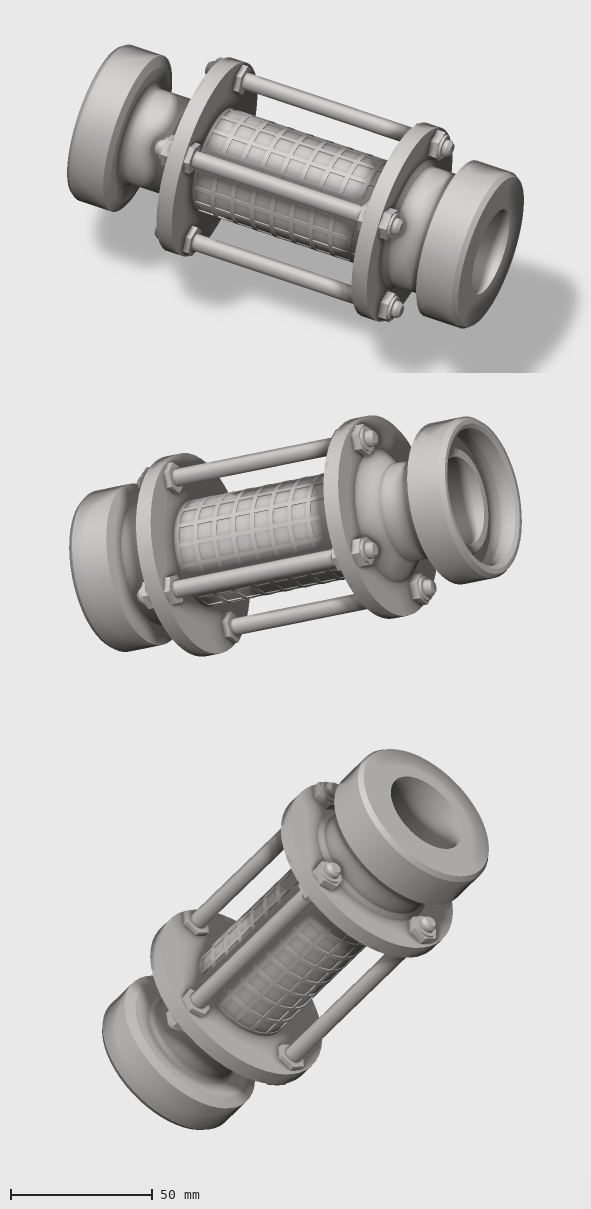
import cadquery as cq

total_length = 152.0
bore_radius = 15.8
end_radius = 29.0
end_face_radius = 27.8
end_chamfer_length = 1.8

flange_radius = 36.0
flange_thickness = 6.0
glass_center = 79.5
flange_gap = 69.9
left_flange_inner = glass_center - flange_gap / 2
left_flange_outer = left_flange_inner - flange_thickness
right_flange_inner = glass_center + flange_gap / 2
right_flange_outer = right_flange_inner + flange_thickness

nut_length = 15.8
nut_back_chamfer_length = 1.2
nut_back_radius = 25.1
nut_bore_radius = 24.8
nut_mouth_radius = 26.1
nut_mouth_depth = 0.9
nut_thread_end = 6.8
nut_seat_radius = 25.1
nut_seat_depth = 11.1
nut_collar_radius = 19.3
nut_collar_length = 2.1
nut_collar_curve_radius = 2.3

lip_depth = 8.5
lip_front_radius = 18.8
lip_base_radius = 19.9
left_pipe_radius = 17.6
left_flare_length = 6.7

right_pipe_radius = 22.2
right_flare_length = 1.7
male_end_length = 15.7
male_back_cone_length = 2.1

flare_radius = 24.0
flare_curve_radius = 45.6

sleeve_radius = 19.2
sleeve_thickness = 0.5
glass_radius = sleeve_radius - sleeve_thickness
window_size = 6.0
window_pitch = 7.6
window_columns = 9
window_center = 79.2
window_rows = 16

bolt_count = 4
bolt_offset = 21.1
bolt_radius = 3.0
bolt_tip_radius = 2.1
bolt_tip_length = 1.2
bolt_overhang = 6.7
hex_corner_radius = 5.6
hex_twist = 5.0
outer_hex_thickness = 3.0
inner_hex_thickness = 2.1
hex_collar_radius = 4.4
hex_collar_thickness = 0.9


def revolve_about_flow_axis(profile):
    """Revolve a closed profile, drawn with X along the flow axis and Z as the radius."""
    return profile.close().revolve(360, (0, 0, 0), (1, 0, 0))


def cylinder(radius, start, length):
    """A cylinder on the flow axis."""
    return cq.Workplane("YZ", origin=(start, 0, 0)).circle(radius).extrude(length)


def tube(outer_radius, inner_radius, start, length):
    """A plain tube on the flow axis."""
    return cq.Workplane("YZ", origin=(start, 0, 0)).circle(outer_radius).circle(inner_radius).extrude(length)


def around_bolt_circle(bolt_shape, index):
    """Turn a shape about the flow axis to one of the bolt places."""
    return bolt_shape.rotate((0, 0, 0), (1, 0, 0), index * 360 / bolt_count)


def cut_bolt_holes(fitting, flange_start):
    """Drill the close-fitting holes for the tie bolts through one flange."""
    hole = (
        cq.Workplane("YZ", origin=(flange_start, bolt_offset, bolt_offset))
        .circle(bolt_radius)
        .extrude(flange_thickness)
    )
    for index in range(bolt_count):
        fitting = fitting.cut(around_bolt_circle(hole, index))
    return fitting


def make_union_nut():
    """Ring nut whose back wall rests behind the lip of the left fitting."""
    profile = (
        cq.Workplane("XZ")
        .moveTo(0, nut_mouth_radius)
        .lineTo(0, end_face_radius)
        .lineTo(end_chamfer_length, end_radius)
        .lineTo(nut_length - nut_back_chamfer_length, end_radius)
        .lineTo(nut_length, nut_back_radius)
        .lineTo(nut_length, nut_collar_radius)
        .radiusArc((nut_length + nut_collar_length, left_pipe_radius), -nut_collar_curve_radius)
        .lineTo(nut_seat_depth, left_pipe_radius)
        .lineTo(nut_seat_depth, nut_seat_radius)
        .lineTo(nut_thread_end, nut_seat_radius)
        .lineTo(nut_thread_end, nut_bore_radius)
        .lineTo(nut_mouth_depth, nut_bore_radius)
    )
    return revolve_about_flow_axis(profile)


def make_left_fitting():
    """Tapered lip, pipe, flare and flange in one piece."""
    profile = (
        cq.Workplane("XZ")
        .moveTo(lip_depth, bore_radius)
        .lineTo(lip_depth, lip_front_radius)
        .lineTo(nut_seat_depth, lip_base_radius)
        .lineTo(nut_seat_depth, left_pipe_radius)
        .lineTo(left_flange_outer - left_flare_length, left_pipe_radius)
        .radiusArc((left_flange_outer, flare_radius), -flare_curve_radius)
        .lineTo(left_flange_outer, flange_radius)
        .lineTo(left_flange_inner, flange_radius)
        .lineTo(left_flange_inner, bore_radius)
    )
    return cut_bolt_holes(revolve_about_flow_axis(profile), left_flange_outer)


def make_right_fitting():
    """Flange, flare, pipe and male end in one piece."""
    male_end_start = total_length - male_end_length
    profile = (
        cq.Workplane("XZ")
        .moveTo(right_flange_inner, bore_radius)
        .lineTo(right_flange_inner, flange_radius)
        .lineTo(right_flange_outer, flange_radius)
        .lineTo(right_flange_outer, flare_radius)
        .radiusArc((right_flange_outer + right_flare_length, right_pipe_radius), -flare_curve_radius)
        .lineTo(male_end_start - male_back_cone_length, right_pipe_radius)
        .lineTo(male_end_start, end_radius)
        .lineTo(total_length - end_chamfer_length, end_radius)
        .lineTo(total_length, end_face_radius)
        .lineTo(total_length, bore_radius)
    )
    return cut_bolt_holes(revolve_about_flow_axis(profile), right_flange_inner)


def make_sleeve():
    """Sleeve around the glass, perforated by rings of square windows."""
    sleeve = tube(sleeve_radius, glass_radius, left_flange_inner, flange_gap)
    window_row = (
        cq.Workplane("XY", origin=(window_center, 0, 0))
        .rarray(window_pitch, 1.5, window_columns, 1)
        .rect(window_size, window_size)
        .extrude(sleeve_radius, both=True)
    )
    for row in range(window_rows // 2):
        sleeve = sleeve.cut(window_row.rotate((0, 0, 0), (1, 0, 0), row * 360 / window_rows))
    return sleeve


def hex_nut(start, thickness):
    """Hexagon on the flow axis, one corner close to the Z direction."""
    return (
        cq.Workplane("YZ", origin=(start, 0, 0))
        .polygon(6, 2 * hex_corner_radius)
        .extrude(thickness)
        .rotate((0, 0, 0), (1, 0, 0), 90 + hex_twist)
    )


def make_bolt():
    """Tie bolt with its hexagons inside and outside both flanges, centred on the flow axis."""
    bolt_start = left_flange_outer - bolt_overhang
    bolt_end = right_flange_outer + bolt_overhang
    shank_profile = (
        cq.Workplane("XZ")
        .moveTo(bolt_start, 0)
        .lineTo(bolt_start, bolt_tip_radius)
        .lineTo(bolt_start + bolt_tip_length, bolt_radius)
        .lineTo(bolt_end - bolt_tip_length, bolt_radius)
        .lineTo(bolt_end, bolt_tip_radius)
        .lineTo(bolt_end, 0)
    )
    bolt = revolve_about_flow_axis(shank_profile)
    bolt = bolt.union(hex_nut(left_flange_outer - outer_hex_thickness, outer_hex_thickness))
    bolt = bolt.union(hex_nut(left_flange_inner, inner_hex_thickness))
    bolt = bolt.union(hex_nut(right_flange_inner - inner_hex_thickness, inner_hex_thickness))
    bolt = bolt.union(hex_nut(right_flange_outer, outer_hex_thickness))
    left_collar_start = left_flange_outer - outer_hex_thickness - hex_collar_thickness
    bolt = bolt.union(cylinder(hex_collar_radius, left_collar_start, hex_collar_thickness))
    right_collar_start = right_flange_outer + outer_hex_thickness
    bolt = bolt.union(cylinder(hex_collar_radius, right_collar_start, hex_collar_thickness))
    return bolt


union_nut = make_union_nut()
left_fitting = make_left_fitting()
right_fitting = make_right_fitting()
glass = tube(glass_radius, bore_radius, left_flange_inner, flange_gap)
sleeve = make_sleeve()

first_bolt = make_bolt().translate((0, -bolt_offset, bolt_offset))
bolts = [around_bolt_circle(first_bolt, index) for index in range(bolt_count)]

result = cq.Compound.makeCompound(
    [union_nut.val(), left_fitting.val(), right_fitting.val(), glass.val(), sleeve.val()]
    + [bolt.val() for bolt in bolts]
)